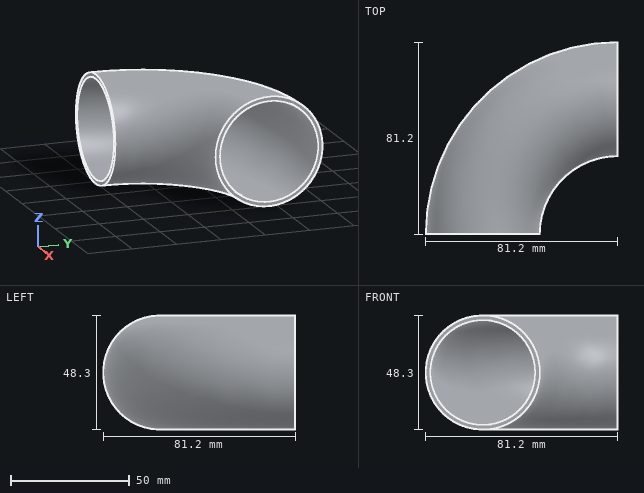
import cadquery as cq

outer_diameter = 48.3
wall_thickness = 2.0
bend_radius = 57.0
bend_angle = 90.0

outer_radius = outer_diameter / 2
inner_radius = outer_radius - wall_thickness


def make_elbow():
    """Turn the pipe ring about the Z axis, from the end facing -Y to the end facing +X."""
    ring = cq.Workplane("XZ").center(-bend_radius, 0).circle(outer_radius).circle(inner_radius)
    bend_axis_start = (bend_radius, 0)
    bend_axis_end = (bend_radius, -1)
    return ring.revolve(bend_angle, bend_axis_start, bend_axis_end)


result = make_elbow()